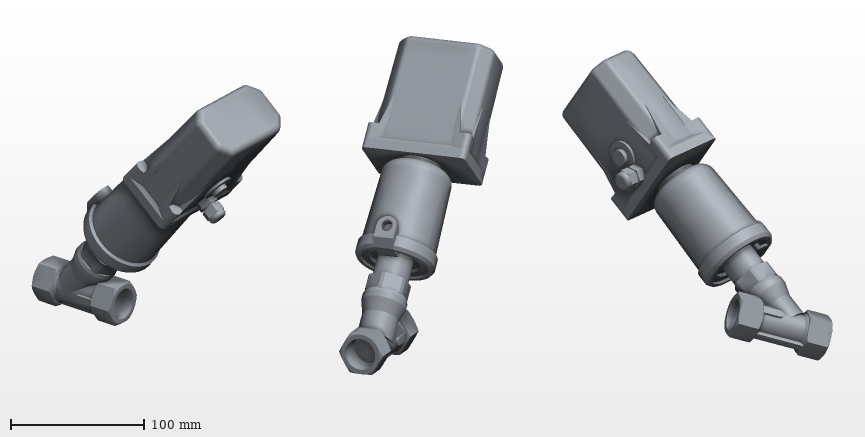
import cadquery as cq
import math


STEM_ANGLE = 50.0

BODY_LENGTH = 75.2
BODY_CENTER_X = 12.0
END_HEX_FLATS = 31.0
END_HEX_LENGTH = 19.0
END_HEX_FACE_DIA = 31.0
END_HEX_BEVEL_ANGLE = 30.0
PORT_DIA = 24.0
PORT_DEPTH = END_HEX_LENGTH
BARREL_DIA = 25.8
PAD_WIDTH = 6.0
PAD_REACH = 14.6
PAD_START_X = 14.0
FOOT_REACH = 15.5
NECK_CONE_DIA = 29.2
NECK_CONE_LENGTH = 2.0
BRANCH_DIA = 28.0
BRANCH_START = 5.0
COLLAR_DIA = 34.5
CONE_START = 23.2
CONE_END = 33.5
COLLAR_END = 38.2
BRANCH_TOP = 41.3
BRANCH_TOP_DIA = 32.2

BONNET_HEX_FLATS = 30.0
BONNET_HEX_CORNER_DIA = 33.0
BONNET_HEX_TOP = 53.7
STEM_TUBE_DIA = 28.0

FLANGE_BOTTOM = 67.5
FLANGE_EDGE_BOTTOM = 70.3
FLANGE_EDGE_TOP = 78.9
FLANGE_TOP = 80.2
FLANGE_RADIUS = 31.0
FLANGE_BOTTOM_RADIUS = 29.2
OUTER_RECESS_DIA = 52.0
OUTER_RECESS_DEPTH = 2.1
INNER_RECESS_DIA = 40.0
INNER_RECESS_DEPTH = 5.0
CYLINDER_FOOT_RADIUS = 28.8
CYLINDER_TOP_RADIUS = 27.0
SHOULDER = 136.9
ACTUATOR_TOP = 146.5
NECK_DIA = 32.2
NECK_STEP_DIA = 32.0
NECK_JOINT = 148.7
AIR_PORT_HEIGHT = 83.8
AIR_PORT_DIA = 8.5
AIR_PORT_COUNTERSINK = 0.6
AIR_PORT_DEPTH = 6.5
AIR_BOSS_RADIUS = 8.0
AIR_BOSS_REACH = 34.5

HEAD_BOTTOM = 150.5
PLATE_TOP = 158.2
POST_TOP = 171.3
HEAD_TOP = 247.1
HEAD_CENTER = 3.9
PLATE_X = 50.7
PLATE_Y = 84.0
PLATE_CORNER = 4.3
COVER_X = 47.0
COVER_Y = 79.5
COVER_CHAMFER = 10.3
COVER_DRAFT = 0.8
COVER_EDGE_RADIUS = 5.0
RIB_TOP = 198.8
RIB_FLANK_X = 16.1
RIB_FLANK_Y = 32.7
RIB_INNER_X = 9.5
RIB_INNER_Y = 26.5
LEDGE_TOP = 161.2
LEDGE_SLOPE = 38.0
RAMP_ANGLE = 11.0

GLAND_HEIGHT = 165.2
GLAND_FLATS = 14.2
GLAND_WAIST_DIA = 12.5
GLAND_TIP_DIA = 8.5
GLAND_BASE_END = 33.3
GLAND_NUT_START = 34.8
GLAND_NUT_END = 41.5
GLAND_END = 46.0
PLUG_HEIGHT = 183.5
PLUG_PLATE_DIA = 24.0
PLUG_PLATE_END = 29.0
PLUG_DIA = 12.5
PLUG_END = 32.5

STEM_PLANE = cq.Plane(
    origin=(0, 0, 0),
    xDir=(math.sin(math.radians(STEM_ANGLE)), 0, -math.cos(math.radians(STEM_ANGLE))),
    normal=(math.cos(math.radians(STEM_ANGLE)), 0, math.sin(math.radians(STEM_ANGLE))),
)


def tilted(upright):
    """Swing a body built along Z onto the stem axis."""
    return cq.Workplane(obj=upright.val().moved(cq.Location(STEM_PLANE)))


def turned(profile):
    """Revolve a (radius, height) outline about Z."""
    return cq.Workplane("XZ").polyline(profile).close().revolve(360, (0, 0), (0, 1))


def hex_across(flats):
    """Corner diameter of a hexagon of the given width across flats."""
    return flats / math.cos(math.pi / 6)


def x_rod(start, end, diameter, height):
    """Round rod along X at the given height."""
    return cq.Workplane("YZ", origin=(start, 0, height)).circle(diameter / 2).extrude(end - start)


def x_hex(start, end, flats, height):
    """Hexagonal rod along X with two corners on the Y axis."""
    rod = cq.Workplane("YZ", origin=(start, 0, height))
    return rod.polygon(6, hex_across(flats)).extrude(end - start)


def end_hex(x_outer, inward):
    """Hexagonal pipe end with bevelled corners on both faces."""
    corner_radius = hex_across(END_HEX_FLATS) / 2
    face_radius = END_HEX_FACE_DIA / 2
    bevel = (corner_radius - face_radius) * math.tan(math.radians(END_HEX_BEVEL_ANGLE))
    x_inner = x_outer + inward * END_HEX_LENGTH
    envelope = (
        cq.Workplane("XY")
        .polyline(
            [
                (x_outer, 0),
                (x_outer, face_radius),
                (x_outer + inward * bevel, corner_radius),
                (x_inner - inward * bevel, corner_radius),
                (x_inner, face_radius),
                (x_inner, 0),
            ]
        )
        .close()
        .revolve(360, (0, 0), (1, 0))
    )
    prism = x_hex(min(x_outer, x_inner), max(x_outer, x_inner), END_HEX_FLATS, 0)
    return prism.intersect(envelope)


def neck_cone(x_hex_end, inward):
    """Short cone from the inner face of a hexagon down to the barrel."""
    x_tip = x_hex_end + inward * NECK_CONE_LENGTH
    return (
        cq.Workplane("XY")
        .polyline([(x_hex_end, 0), (x_hex_end, NECK_CONE_DIA / 2), (x_tip, BARREL_DIA / 2), (x_tip, 0)])
        .close()
        .revolve(360, (0, 0), (1, 0))
    )


def make_pads(x_end):
    """Oblong pads on both sides of the barrel that run to x_end."""
    round_x = PAD_START_X + PAD_WIDTH / 2
    rounds = cq.Workplane("XZ").center(round_x, 0).circle(PAD_WIDTH / 2).extrude(PAD_REACH, both=True)
    bars = cq.Workplane("XY").box(x_end - round_x, 2 * PAD_REACH, PAD_WIDTH, centered=(False, True, True))
    return rounds.union(bars.translate((round_x, 0, 0)))


def make_branch():
    """Inclined branch: tube, cone and collar."""
    return tilted(
        turned(
            [
                (0, BRANCH_START),
                (BRANCH_DIA / 2, BRANCH_START),
                (BRANCH_DIA / 2, CONE_START),
                (COLLAR_DIA / 2, CONE_END),
                (COLLAR_DIA / 2, COLLAR_END),
                (BRANCH_TOP_DIA / 2, BRANCH_TOP),
                (0, BRANCH_TOP),
            ]
        )
    )


def make_valve_body():
    left = BODY_CENTER_X - BODY_LENGTH / 2
    right = BODY_CENTER_X + BODY_LENGTH / 2
    barrel_left = left + END_HEX_LENGTH
    barrel_right = right - END_HEX_LENGTH
    body = x_rod(barrel_left, barrel_right, BARREL_DIA, 0)
    body = body.union(neck_cone(barrel_left, 1)).union(neck_cone(barrel_right, -1))
    body = body.union(end_hex(left, 1)).union(end_hex(right, -1))
    body = body.union(make_branch()).union(make_pads(barrel_right))
    foot = cq.Workplane("XY").box(
        barrel_right - barrel_left, PAD_WIDTH, FOOT_REACH, centered=(False, True, False)
    )
    body = body.union(foot.translate((barrel_left, 0, -FOOT_REACH)))
    for start in (left, right - PORT_DEPTH):
        body = body.cut(x_rod(start, start + PORT_DEPTH, PORT_DIA, 0))
    return body


def make_bonnet():
    """Hexagon with turned corners, and the tube that carries the actuator."""
    base = cq.Workplane("XY", origin=(0, 0, BRANCH_TOP))
    hex_height = BONNET_HEX_TOP - BRANCH_TOP
    nut = base.polygon(6, hex_across(BONNET_HEX_FLATS)).extrude(hex_height)
    nut = nut.intersect(base.circle(BONNET_HEX_CORNER_DIA / 2).extrude(hex_height))
    tube = base.circle(STEM_TUBE_DIA / 2).extrude(FLANGE_BOTTOM + INNER_RECESS_DEPTH - BRANCH_TOP)
    return tilted(nut.union(tube))


def make_air_boss():
    """Round-topped boss on the -X side, with its underside cut along the world vertical."""
    depth = AIR_BOSS_REACH - FLANGE_BOTTOM_RADIUS / 2
    boss = x_rod(-AIR_BOSS_REACH, depth - AIR_BOSS_REACH, 2 * AIR_BOSS_RADIUS, AIR_PORT_HEIGHT)
    foot = cq.Workplane("XY").box(
        depth, 2 * AIR_BOSS_RADIUS, AIR_PORT_HEIGHT - FLANGE_BOTTOM, centered=(False, True, False)
    )
    boss = boss.union(foot.translate((-AIR_BOSS_REACH, 0, FLANGE_BOTTOM)))
    overhang = AIR_BOSS_REACH - FLANGE_BOTTOM_RADIUS
    slope = (
        cq.Workplane("XZ", origin=(-AIR_BOSS_REACH, 0, FLANGE_BOTTOM))
        .polyline([(0, 0), (overhang, 0), (0, overhang * math.tan(math.radians(STEM_ANGLE)))])
        .close()
        .extrude(AIR_BOSS_RADIUS, both=True)
    )
    return boss.cut(slope)


def make_actuator():
    dome_height = ACTUATOR_TOP - SHOULDER
    dome_flat = CYLINDER_TOP_RADIUS - dome_height
    diagonal = dome_height * math.sqrt(0.5)
    shell = (
        cq.Workplane("XZ")
        .moveTo(0, FLANGE_BOTTOM)
        .lineTo(FLANGE_BOTTOM_RADIUS, FLANGE_BOTTOM)
        .lineTo(FLANGE_RADIUS, FLANGE_EDGE_BOTTOM)
        .lineTo(FLANGE_RADIUS, FLANGE_EDGE_TOP)
        .lineTo(CYLINDER_FOOT_RADIUS, FLANGE_TOP)
        .lineTo(CYLINDER_TOP_RADIUS, SHOULDER)
        .threePointArc((dome_flat + diagonal, SHOULDER + diagonal), (dome_flat, ACTUATOR_TOP))
        .lineTo(NECK_STEP_DIA / 2, ACTUATOR_TOP)
        .lineTo(NECK_STEP_DIA / 2, NECK_JOINT)
        .lineTo(0, NECK_JOINT)
        .close()
        .revolve(360, (0, 0), (0, 1))
    )
    underside = cq.Workplane("XY", origin=(0, 0, FLANGE_BOTTOM))
    shell = shell.cut(underside.circle(OUTER_RECESS_DIA / 2).extrude(OUTER_RECESS_DEPTH))
    shell = shell.cut(underside.circle(INNER_RECESS_DIA / 2).extrude(INNER_RECESS_DEPTH))
    mouth = AIR_PORT_DIA / 2 + AIR_PORT_COUNTERSINK
    port = (
        cq.Workplane("XY", origin=(-AIR_BOSS_REACH, 0, AIR_PORT_HEIGHT))
        .polyline(
            [
                (0, 0),
                (0, mouth),
                (AIR_PORT_COUNTERSINK, AIR_PORT_DIA / 2),
                (AIR_PORT_DEPTH, AIR_PORT_DIA / 2),
                (AIR_PORT_DEPTH, 0),
            ]
        )
        .close()
        .revolve(360, (0, 0), (1, 0))
    )
    return tilted(shell.union(make_air_boss()).cut(port))


def make_cover():
    """Drafted box with chamfered corners and rounded edges."""
    foot_x = COVER_X / 2
    foot_y = COVER_Y / 2
    cut_x = foot_x - COVER_CHAMFER
    cut_y = foot_y - COVER_CHAMFER
    octagon = [
        (foot_x, cut_y),
        (cut_x, foot_y),
        (-cut_x, foot_y),
        (-foot_x, cut_y),
        (-foot_x, -cut_y),
        (-cut_x, -foot_y),
        (cut_x, -foot_y),
        (foot_x, -cut_y),
    ]
    cover = (
        cq.Workplane("XY", origin=(0, 0, PLATE_TOP))
        .polyline(octagon)
        .close()
        .extrude(HEAD_TOP - PLATE_TOP, taper=COVER_DRAFT)
    )
    return cover.edges("not #Z").fillet(COVER_EDGE_RADIUS).faces(">Z").edges().fillet(COVER_EDGE_RADIUS)


def make_base():
    """Plate with rounded corners and a sloped ledge up to the cover."""
    base = (
        cq.Workplane("XY", origin=(0, 0, HEAD_BOTTOM))
        .rect(PLATE_X, PLATE_Y)
        .extrude(PLATE_TOP - HEAD_BOTTOM)
        .edges("|Z")
        .fillet(PLATE_CORNER)
    )
    ledge = (
        base.faces(">Z").wires().toPending().workplane()
        .extrude(LEDGE_TOP - PLATE_TOP, combine=False, taper=LEDGE_SLOPE)
    )
    return base.union(ledge)


def rib_flanks(plane, inner, flank, outer, reach):
    """Two mirrored rib silhouettes with their post blocks, extruded through the head."""
    flanks = cq.Workplane(plane)
    for side in (-1, 1):
        flanks = flanks.polyline(
            [
                (side * inner, PLATE_TOP),
                (side * inner, RIB_TOP),
                (side * flank, POST_TOP),
                (side * outer, POST_TOP),
                (side * outer, PLATE_TOP),
            ]
        ).close()
    return flanks.extrude(reach, both=True)


def make_ribs():
    """Ribs beside the flat panels; their faces ramp from the panel edges out to the corner posts."""
    ramp = math.radians(RAMP_ANGLE)
    post_x = PLATE_X / 2 - PLATE_CORNER
    post_y = PLATE_Y / 2 - PLATE_CORNER
    corner_reach = PLATE_CORNER * math.sqrt(0.5) / math.sin(math.pi / 4 - ramp)
    corner_x = post_x + corner_reach
    corner_y = post_y + corner_reach
    middle_x = corner_x - corner_y * math.tan(ramp)
    middle_y = corner_y - corner_x * math.tan(ramp)
    star = [
        (middle_x, 0),
        (corner_x, corner_y),
        (0, middle_y),
        (-corner_x, corner_y),
        (-middle_x, 0),
        (-corner_x, -corner_y),
        (0, -middle_y),
        (corner_x, -corner_y),
    ]
    envelope = (
        cq.Workplane("XY", origin=(0, 0, PLATE_TOP))
        .polyline(star)
        .close()
        .extrude(RIB_TOP - PLATE_TOP)
    )
    inner_corners = cq.selectors.BoxSelector((-post_x, -post_y, 0), (post_x, post_y, HEAD_TOP))
    outer_corners = cq.selectors.StringSyntaxSelector("|Z") - inner_corners
    envelope = envelope.edges(outer_corners).fillet(PLATE_CORNER)
    long_side = rib_flanks("XZ", RIB_INNER_X, RIB_FLANK_X, corner_x, PLATE_Y)
    short_side = rib_flanks("YZ", RIB_INNER_Y, RIB_FLANK_Y, corner_y, PLATE_X)
    return long_side.union(short_side).intersect(envelope)


def make_gland():
    """Cable gland along X: hexagonal foot, waist, cap nut and rounded tip."""
    start = HEAD_CENTER
    gland = x_hex(start, GLAND_BASE_END, GLAND_FLATS, GLAND_HEIGHT)
    gland = gland.union(x_rod(start, GLAND_NUT_START, GLAND_WAIST_DIA, GLAND_HEIGHT))
    gland = gland.union(x_hex(GLAND_NUT_START, GLAND_NUT_END, GLAND_FLATS, GLAND_HEIGHT))
    tip = x_rod(GLAND_NUT_END, GLAND_END, GLAND_FLATS, GLAND_HEIGHT)
    tip = tip.faces(">X").edges().fillet((GLAND_FLATS - GLAND_TIP_DIA) / 2)
    return gland.union(tip)


def make_plug():
    """Stepped round plug along X."""
    plug = x_rod(HEAD_CENTER, PLUG_PLATE_END, PLUG_PLATE_DIA, PLUG_HEIGHT)
    return plug.union(x_rod(HEAD_CENTER, PLUG_END, PLUG_DIA, PLUG_HEIGHT))


def make_control_head():
    neck = cq.Workplane("XY", origin=(0, 0, NECK_JOINT)).circle(NECK_DIA / 2)
    head = make_base().union(make_cover()).union(make_ribs()).translate((HEAD_CENTER, 0, 0))
    head = head.union(neck.extrude(HEAD_BOTTOM - NECK_JOINT))
    return tilted(head.union(make_gland()).union(make_plug()))


valve_body = make_valve_body()
bonnet = make_bonnet()
actuator = make_actuator()
control_head = make_control_head()

result = cq.Compound.makeCompound(
    [valve_body.val(), bonnet.val(), actuator.val(), control_head.val()]
)